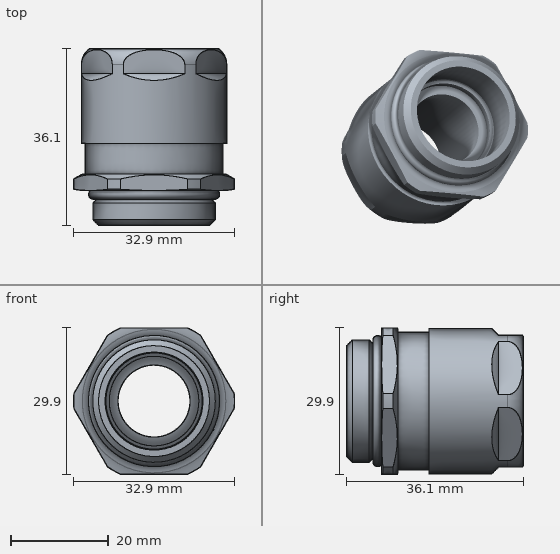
import cadquery as cq
import math


length = 36.1

thread_radius = 25.0 / 2
thread_chamfer = 1.2
thread_end = 4.6
groove_radius = 22.9 / 2
groove_taper = thread_radius - groove_radius

ring_section_radius = 1.0
ring_embed = 0.07
ring_center_y = 6.35
ring_center_radius = groove_radius - ring_embed + ring_section_radius

flat_count = 6

hex_start = 7.1
hex_end = 10.5
hex_across_flats = 29.9
hex_corner_radius = 32.9 / 2
hex_face_radius = 14.65
hex_front_bevel = 0.3
hex_back_bevel = 1.0

collar_radius = 28.15 / 2
cap_start = 16.8
cap_radius = 29.7 / 2
dome_start = 32.85
dome_arc_radius = 3.97

flat_cutter_clearance = 0.35
cap_across_flats = 26.93
flat_start = 31.0

entry_radius = 20.0 / 2
entry_depth = 9.93
seat_bevel = 0.18
seat_radius = 18.3 / 2
seat_depth = 11.9
through_radius = 14.65 / 2


def revolve_y(profile):
    """Close a profile of (radius, y) points and turn it about the Y axis."""
    return profile.close().revolve(360, (0, 0, 0), (0, 1, 0))


def make_thread():
    return revolve_y(
        cq.Workplane("XY")
        .moveTo(0, 0)
        .lineTo(thread_radius - thread_chamfer, 0)
        .lineTo(thread_radius, thread_chamfer)
        .lineTo(thread_radius, thread_end)
        .lineTo(groove_radius, thread_end + groove_taper)
        .lineTo(groove_radius, hex_start)
        .lineTo(0, hex_start)
    )


def make_ring():
    """Round-section ring; its section starts on the inner side so the seam lies in the groove."""
    section_plane = cq.Plane(
        origin=(ring_center_radius, ring_center_y, 0),
        xDir=(-1, 0, 0),
        normal=(0, 0, 1),
    )
    return (
        cq.Workplane(section_plane)
        .circle(ring_section_radius)
        .revolve(360, (ring_center_radius, 0, 0), (ring_center_radius, 1, 0))
    )


def make_hex_flange():
    """Hexagonal prism with flats on +Z and -Z, its corners turned round and bevelled."""
    across_corners = hex_across_flats / math.cos(math.pi / flat_count)
    prism = (
        cq.Workplane("XZ", origin=(0, hex_start, 0))
        .polygon(flat_count, across_corners)
        .extrude(hex_start - hex_end)
    )
    turned = revolve_y(
        cq.Workplane("XY")
        .moveTo(0, hex_start)
        .lineTo(hex_face_radius, hex_start)
        .lineTo(hex_corner_radius, hex_start + hex_front_bevel)
        .lineTo(hex_corner_radius, hex_end - hex_back_bevel)
        .lineTo(hex_face_radius, hex_end)
        .lineTo(0, hex_end)
    )
    return prism.intersect(turned)


def make_collar_and_cap():
    """Collar and cap; the dome arc leaves the cap wall tangentially and stops at the end face."""
    arc_center_radius = cap_radius - dome_arc_radius

    def dome_point(angle):
        return (
            arc_center_radius + dome_arc_radius * math.cos(angle),
            dome_start + dome_arc_radius * math.sin(angle),
        )

    end_angle = math.asin((length - dome_start) / dome_arc_radius)
    return revolve_y(
        cq.Workplane("XY")
        .moveTo(0, hex_end)
        .lineTo(collar_radius, hex_end)
        .lineTo(collar_radius, cap_start)
        .lineTo(cap_radius, cap_start)
        .lineTo(cap_radius, dome_start)
        .threePointArc(dome_point(end_angle / 2), dome_point(end_angle))
        .lineTo(0, length)
    )


def make_flat_cutter():
    """Block above the +Z wrench flat, with a 45 degree run-out at its start."""
    flat_height = cap_across_flats / 2
    block_height = cap_radius - flat_height + flat_cutter_clearance
    return (
        cq.Workplane("YZ")
        .moveTo(flat_start, flat_height)
        .lineTo(length, flat_height)
        .lineTo(length, flat_height + block_height)
        .lineTo(flat_start - block_height, flat_height + block_height)
        .close()
        .extrude(cap_radius, both=True)
    )


def make_bore():
    bevel_end = entry_depth + seat_bevel
    return revolve_y(
        cq.Workplane("XY")
        .moveTo(0, 0)
        .lineTo(entry_radius, 0)
        .lineTo(entry_radius, entry_depth)
        .lineTo(entry_radius - seat_bevel, bevel_end)
        .lineTo(seat_radius, bevel_end)
        .lineTo(seat_radius, seat_depth)
        .lineTo(through_radius, seat_depth)
        .lineTo(through_radius, length)
        .lineTo(0, length)
    )


body = make_collar_and_cap()
flat_cutter = make_flat_cutter()
for index in range(flat_count):
    body = body.cut(flat_cutter.rotate((0, 0, 0), (0, 1, 0), index * 360 / flat_count))

body = body.union(make_hex_flange()).union(make_thread()).union(make_ring())
result = body.cut(make_bore())